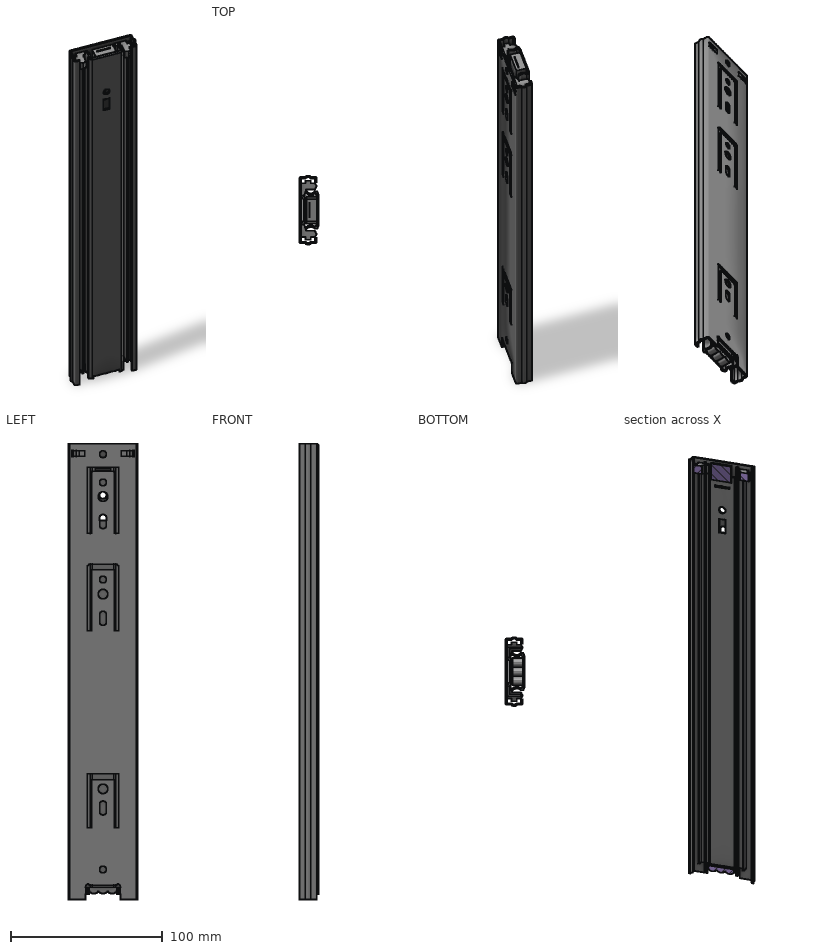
import cadquery as cq
import math

LENGTH = 300.0
SHEET = 1.2
DEPTH = 12.5
BULGE_Y = 22.8

OUTER_Y = 22.0
OUTER_DEPTH = 11.5
LIP_Y = 18.3
BULGE_START = 4.0
BULGE_END = 7.5
CUTOUT_Y = 11.5
CUTOUT_HEIGHT = 9.5
RELIEF_RADIUS = 0.75

SLIT_OUTER_Y = 10.5
SLIT_INNER_Y = 7.5
TONGUES = [(284.5, 241.0, 2.7), (220.8, 177.0, 3.5), (82.8, 47.5, 4.0)]
CUT_CORNER_TONGUE = 1
TONGUE_CORNER = 1.5
SMALL_HOLE = 4.5
LARGE_HOLE = 6.3
SMALL_HOLE_Z = [293.0, 274.5, 210.5, 19.8]
LARGE_HOLE_Z = [265.2, 201.0, 73.0]
SLOT_Z = [248.7, 185.0, 60.3]
SLOT_LENGTH = 9.3

WINDOW_BOTTOM = 291.5
WINDOW_TOP = 295.5
WINDOW_NEAR_Y = 12.0
WINDOW_FAR_Y = 20.5
CLIP_FAR_Y = 15.5

MIDDLE_BOTTOM = 8.0
MIDDLE_TOP = 291.0
MIDDLE_X = 1.5
MIDDLE_STEP = 1.0
MIDDLE_STEP_Y = 8.5
MIDDLE_Y = 16.2
MIDDLE_DEPTH = 10.2
CATCH_Y = 5.0
CATCH_BOTTOM = 282.3
CATCH_TOP = 283.5

SIGHT_HOLE_Z = 266.0
SIGHT_HOLE = 4.5
SIGHT_SLOT_BOTTOM = 249.5
SIGHT_SLOT_TOP = 259.5

INNER_BOTTOM = 3.5
INNER_EDGE_X = 4.8
INNER_Y = 12.3
INNER_WEB_Y = 10.2
INNER_SHOULDER_X = 11.7
INNER_LAND_X = 10.2
INNER_GROOVE_DEPTH = 1.2
INNER_CHAMFER = 1.0

BUFFER_TOP = 297.0
BUFFER_Y = 17.7
BUFFER_FOOT_Y = 9.5
BUFFER_FOOT_X = 3.3
BUFFER_ARM_X = 4.5
BUFFER_ARM_Y = 13.5
BUFFER_NOSE_X = 11.5
BUFFER_NOSE_Y = 16.0
BUFFER_BUMP_Y = 19.5

BLOCK_Y = 7.2
BLOCK_X = 4.5
BLOCK_BOTTOM = 288.0
GROOVE_X = 6.5
GROOVE_WIDTH = 0.3
GROOVE_Y = 4.8
GROOVE_DEPTH = 0.5
BUMPER_Y = 9.0
BUMPER_TOP = 8.0
BUMPER_VALLEY_Z = 5.5
LOBE_COUNT = 3
LOBE_HEIGHT = 1.5


def box(x0, x1, y0, y1, z0, z1):
    """A box given by its limits along each axis."""
    return cq.Workplane("XY").box(x1 - x0, y1 - y0, z1 - z0, centered=False).translate((x0, y0, z0))


def both_sides(half_outline, bottom, top):
    """Extrude the +Y half of a section along Z and join it to its mirror image."""
    half = half_outline.close().extrude(top - bottom).translate((0, 0, bottom))
    return half.union(half.mirror("XZ")).clean()


def web_hole(diameter, z):
    """A round cutter along X through every web."""
    return cq.Workplane("YZ").center(0, z).circle(diameter / 2).extrude(DEPTH)


def outer_section():
    """Half of the C section, with an outward ball groove in the flange and a lip at its end."""
    bulge_x = (BULGE_START + BULGE_END) / 2
    inside_y = OUTER_Y - SHEET
    lip_x = OUTER_DEPTH - SHEET
    mid = SHEET * (1 - math.sqrt(0.5))
    return (
        cq.Workplane("XY").moveTo(0, 0).lineTo(0, inside_y)
        .threePointArc((mid, OUTER_Y - mid), (SHEET, OUTER_Y))
        .lineTo(BULGE_START, OUTER_Y)
        .threePointArc((bulge_x, BULGE_Y), (BULGE_END, OUTER_Y))
        .lineTo(lip_x, OUTER_Y)
        .threePointArc((OUTER_DEPTH - mid, OUTER_Y - mid), (OUTER_DEPTH, inside_y))
        .lineTo(OUTER_DEPTH, LIP_Y).lineTo(lip_x, LIP_Y).lineTo(lip_x, inside_y)
        .lineTo(BULGE_END, inside_y)
        .threePointArc((bulge_x, BULGE_Y - SHEET), (BULGE_START, inside_y))
        .lineTo(SHEET, inside_y).lineTo(SHEET, 0)
    )


def tongue_slit(top, bottom, top_slit):
    """The U-shaped slit that frees a mounting tongue at its top and sides."""
    surround = box(0, SHEET, -SLIT_OUTER_Y, SLIT_OUTER_Y, bottom, top)
    tongue = box(0, SHEET, -SLIT_INNER_Y, SLIT_INNER_Y, bottom, top - top_slit)
    return surround.cut(tongue)


def make_outer_rail():
    rail = both_sides(outer_section(), 0, LENGTH)
    for index, tongue in enumerate(TONGUES):
        slit = tongue_slit(*tongue)
        if index == CUT_CORNER_TONGUE:
            slit = slit.edges("|X and >Z and (<Y or >Y)").chamfer(TONGUE_CORNER)
        rail = rail.cut(slit)
    for z in SMALL_HOLE_Z:
        rail = rail.cut(web_hole(SMALL_HOLE, z))
    for z in LARGE_HOLE_Z:
        rail = rail.cut(web_hole(LARGE_HOLE, z))
    for z in SLOT_Z:
        slot = cq.Workplane("YZ").center(0, z).slot2D(SLOT_LENGTH, SMALL_HOLE, 90).extrude(SHEET)
        rail = rail.cut(slot)
    for y0, y1 in [(WINDOW_NEAR_Y, WINDOW_FAR_Y), (-WINDOW_FAR_Y, -WINDOW_NEAR_Y)]:
        rail = rail.cut(box(0, SHEET, y0, y1, WINDOW_BOTTOM, WINDOW_TOP))
    rail = rail.cut(box(0, SHEET, -CUTOUT_Y, CUTOUT_Y, 0, CUTOUT_HEIGHT))
    relief_y = CUTOUT_Y - 2 * RELIEF_RADIUS
    reliefs = cq.Workplane("YZ").pushPoints([(-relief_y, CUTOUT_HEIGHT), (relief_y, CUTOUT_HEIGHT)])
    return rail.cut(reliefs.circle(RELIEF_RADIUS).extrude(SHEET))


def cut_sight_openings(rail):
    """Cut the hole and the window that line up through the middle and inner webs."""
    half_width = SIGHT_HOLE / 2
    window = box(0, DEPTH, -half_width, half_width, SIGHT_SLOT_BOTTOM, SIGHT_SLOT_TOP)
    return rail.cut(web_hole(SIGHT_HOLE, SIGHT_HOLE_Z)).cut(window)


def make_middle_rail():
    """A C section whose web has a raised centre strip."""
    raised_x = MIDDLE_X + MIDDLE_STEP
    section = (
        cq.Workplane("XY").moveTo(raised_x, 0).lineTo(raised_x, MIDDLE_STEP_Y - SHEET)
        .lineTo(MIDDLE_X, MIDDLE_STEP_Y).lineTo(MIDDLE_X, MIDDLE_Y)
        .lineTo(MIDDLE_DEPTH, MIDDLE_Y).lineTo(MIDDLE_DEPTH, MIDDLE_Y - SHEET)
        .lineTo(MIDDLE_X + SHEET, MIDDLE_Y - SHEET).lineTo(MIDDLE_X + SHEET, MIDDLE_STEP_Y + SHEET)
        .lineTo(raised_x + SHEET, MIDDLE_STEP_Y).lineTo(raised_x + SHEET, 0)
    )
    rail = cut_sight_openings(both_sides(section, MIDDLE_BOTTOM, MIDDLE_TOP))
    return rail.cut(box(0, raised_x + SHEET, -CATCH_Y, CATCH_Y, CATCH_BOTTOM, CATCH_TOP))


def make_inner_rail():
    """A C section facing the other way, with a ball groove in the outside of each flange."""
    groove_x = (INNER_EDGE_X + INNER_LAND_X) / 2
    groove_y = INNER_Y - INNER_GROOVE_DEPTH
    web_x = DEPTH - SHEET
    section = (
        cq.Workplane("XY").moveTo(DEPTH, 0).lineTo(DEPTH, INNER_WEB_Y)
        .lineTo(INNER_SHOULDER_X, INNER_Y).lineTo(INNER_LAND_X, INNER_Y)
        .threePointArc((groove_x, groove_y), (INNER_EDGE_X, INNER_Y))
        .lineTo(INNER_EDGE_X, INNER_Y - SHEET)
        .threePointArc((groove_x, groove_y - SHEET), (INNER_LAND_X, INNER_Y - SHEET))
        .lineTo(web_x, INNER_WEB_Y - SHEET / 2).lineTo(web_x, 0)
    )
    rail = cut_sight_openings(both_sides(section, INNER_BOTTOM, LENGTH))
    rail = rail.cut(box(web_x, DEPTH, -BUMPER_Y, BUMPER_Y, INNER_BOTTOM, BUMPER_VALLEY_Z))
    return rail.faces(">X").edges(">Z").chamfer(INNER_CHAMFER)


def make_buffer(side):
    """An end buffer on the +Y (side 1) or -Y (side -1) half, clipped into the web window."""
    buffer = (
        cq.Workplane("XY").moveTo(SHEET, BUFFER_FOOT_Y).lineTo(SHEET, BUFFER_Y)
        .lineTo(BULGE_START, BUFFER_Y).lineTo(BULGE_START, BUFFER_BUMP_Y)
        .lineTo(BULGE_END, BUFFER_BUMP_Y).lineTo(BULGE_END, BUFFER_Y)
        .lineTo(MIDDLE_DEPTH, BUFFER_Y).lineTo(BUFFER_NOSE_X, BUFFER_NOSE_Y)
        .lineTo(MIDDLE_DEPTH, BUFFER_ARM_Y).lineTo(BUFFER_ARM_X, BUFFER_ARM_Y)
        .lineTo(BUFFER_FOOT_X, BUFFER_FOOT_Y).close()
        .extrude(BUFFER_TOP - MIDDLE_TOP).translate((0, 0, MIDDLE_TOP))
    )
    clip = box(0, SHEET, WINDOW_NEAR_Y, CLIP_FAR_Y, WINDOW_BOTTOM, WINDOW_TOP)
    buffer = buffer.union(clip)
    return buffer if side > 0 else buffer.mirror("XZ")


def make_end_block():
    """The block that fills the top end of the inner rail."""
    block = box(BLOCK_X, DEPTH - SHEET, -BLOCK_Y, BLOCK_Y, BLOCK_BOTTOM, LENGTH)
    groove_end = GROOVE_X + GROOVE_WIDTH
    return block.cut(box(GROOVE_X, groove_end, -GROOVE_Y, GROOVE_Y, LENGTH - GROOVE_DEPTH, LENGTH))


def make_bumper():
    """The bumper at the bottom end of the inner rail, with round lobes along its lower edge."""
    lobe_width = 2 * BUMPER_Y / LOBE_COUNT
    outline = cq.Workplane("YZ", origin=(BLOCK_X, 0, 0)).moveTo(-BUMPER_Y, BUMPER_VALLEY_Z)
    for lobe in range(LOBE_COUNT):
        start = -BUMPER_Y + lobe * lobe_width
        outline = outline.threePointArc(
            (start + lobe_width / 2, BUMPER_VALLEY_Z - LOBE_HEIGHT),
            (start + lobe_width, BUMPER_VALLEY_Z),
        )
    outline = outline.lineTo(BUMPER_Y, BUMPER_TOP).lineTo(-BUMPER_Y, BUMPER_TOP).close()
    return outline.extrude(DEPTH - SHEET - BLOCK_X)


outer_rail = make_outer_rail()
middle_rail = make_middle_rail()
inner_rail = make_inner_rail()
buffers = [make_buffer(side).val() for side in (1, -1)]
end_block = make_end_block()
bumper = make_bumper()

result = cq.Compound.makeCompound(
    [outer_rail.val(), middle_rail.val(), inner_rail.val(), *buffers, end_block.val(), bumper.val()]
)